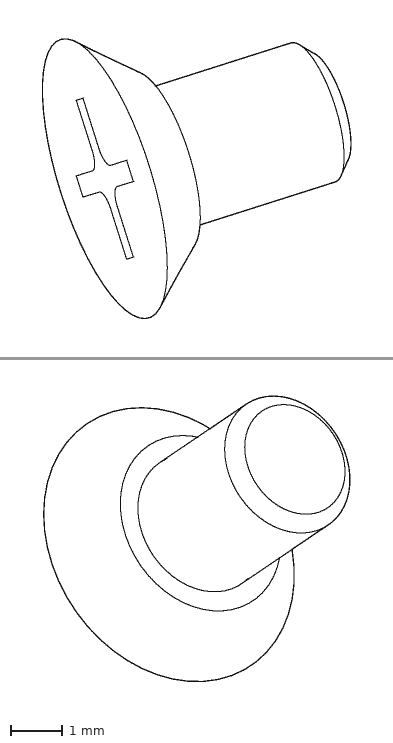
import cadquery as cq

head_diameter = 5.69
neck_diameter = 3.64
shank_diameter = 2.845
screw_length = 4.76
head_height = 1.195
tip_chamfer = 0.285

cross_span = 3.245
arm_width = 0.43
inner_corner_radius = 0.375
cross_depth = 0.57
arm_angle = 45.0

head_face_y = -screw_length / 2
head_back_y = head_face_y + head_height
tip_y = head_face_y + screw_length


def make_blank():
    """Countersunk head and chamfered shank, revolved about Y."""
    shank_radius = shank_diameter / 2
    return (
        cq.Workplane("XY")
        .moveTo(0, head_face_y)
        .lineTo(head_diameter / 2, head_face_y)
        .lineTo(neck_diameter / 2, head_back_y)
        .lineTo(shank_radius, head_back_y)
        .lineTo(shank_radius, tip_y - tip_chamfer)
        .lineTo(shank_radius - tip_chamfer, tip_y)
        .lineTo(0, tip_y)
        .close()
        .revolve(360, (0, 0, 0), (0, 1, 0))
    )


def make_cross_insert():
    """Diagonal cross with rounded inner corners, running inward from the head face."""
    arm = cq.Workplane("XY").box(cross_span, cross_depth, arm_width)
    crossing_arm = cq.Workplane("XY").box(arm_width, cross_depth, cross_span)
    inner_corners = cq.selectors.BoxSelector(
        (-arm_width, -cross_depth, -arm_width),
        (arm_width, cross_depth, arm_width),
    )
    return (
        arm.union(crossing_arm)
        .edges("|Y")
        .edges(inner_corners)
        .fillet(inner_corner_radius)
        .rotate((0, 0, 0), (0, 1, 0), arm_angle)
        .translate((0, head_face_y + cross_depth / 2, 0))
    )


cross_insert = make_cross_insert()
screw = make_blank().cut(cross_insert)

result = cq.Compound.makeCompound([screw.solids().val(), cross_insert.solids().val()])